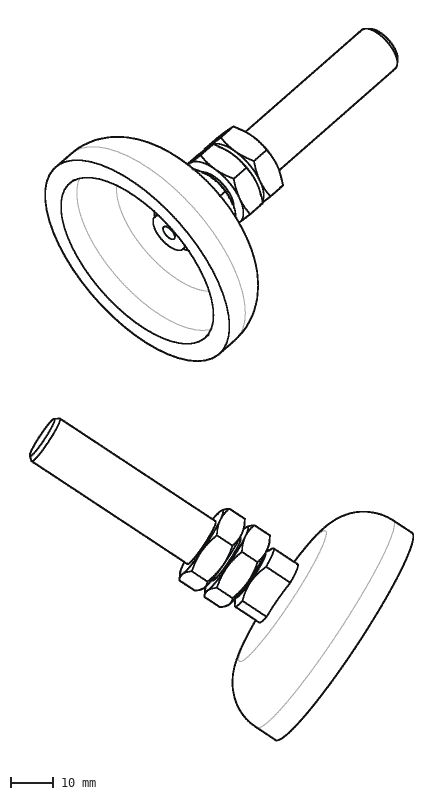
import cadquery as cq
import math

total_length = 85.0
foot_radius = 29.0
wall = 5.0
rim_height = 5.4
shoulder_radius = 12.0
crown_slope = math.radians(6)

stud_diameter = 12.0
stud_radius = stud_diameter / 2
tip_chamfer_length = 1.0
tip_chamfer_depth = 0.8
rivet_radius = 5.0
rivet_base_radius = 7.1
rivet_face_y = 11.05
rivet_cone_start_y = 12.75
rivet_cone_end_y = 13.6
center_hole_radius = 1.9
center_hole_depth = 2.8

collar_radius = 8.2
collar_flats = 13.0
collar_top_y = 26.3
collar_chamfer_length = 1.0
collar_chamfer_depth = 1.8

nut_count = 2
nut_flats = 18.0
nut_height = 6.0
nut_gap = 1.0
first_nut_y = 27.0
nut_face_radius = 9.0
nut_chamfer_angle = math.radians(30)

shoulder_center_r = foot_radius - shoulder_radius
slope_sin = math.sin(crown_slope)
slope_cos = math.cos(crown_slope)


def revolve_profile(profile):
    return profile.close().revolve(360, (0, 0, 0), (0, 1, 0))


def shoulder_point(radius, angle):
    """Point on a shoulder arc, with the angle measured from the Y direction."""
    return (shoulder_center_r + radius * math.sin(angle), rim_height + radius * math.cos(angle))


def crown_y(radius):
    """Height on the axis of the sloping crown tangent to a shoulder arc."""
    end_r, end_y = shoulder_point(radius, crown_slope)
    return end_y + end_r * slope_sin / slope_cos


def dome(shoulder):
    """Solid of revolution: straight rim, round shoulder and shallow conical crown."""
    middle_angle = (crown_slope + math.pi / 2) / 2
    rim_radius = shoulder_center_r + shoulder
    return revolve_profile(
        cq.Workplane("XY")
        .moveTo(0, 0)
        .lineTo(rim_radius, 0)
        .lineTo(rim_radius, rim_height)
        .threePointArc(shoulder_point(shoulder, middle_angle), shoulder_point(shoulder, crown_slope))
        .lineTo(0, crown_y(shoulder))
    )


def make_stud():
    """Stud with a chamfered tip, a conical rivet head and a conical center hole."""
    return revolve_profile(
        cq.Workplane("XY")
        .moveTo(0, rivet_face_y + center_hole_depth)
        .lineTo(center_hole_radius, rivet_face_y)
        .lineTo(rivet_radius, rivet_face_y)
        .lineTo(rivet_radius, rivet_cone_start_y)
        .lineTo(rivet_base_radius, rivet_cone_end_y)
        .lineTo(stud_radius, crown_y(shoulder_radius))
        .lineTo(stud_radius, total_length - tip_chamfer_length)
        .lineTo(stud_radius - tip_chamfer_depth, total_length)
        .lineTo(0, total_length)
    )


def make_collar():
    """Chamfered round collar cut to two flats facing +Z and -Z."""
    base_y = rivet_cone_end_y + wall / 2
    body = revolve_profile(
        cq.Workplane("XY")
        .moveTo(0, base_y)
        .lineTo(collar_radius, base_y)
        .lineTo(collar_radius, collar_top_y - collar_chamfer_length)
        .lineTo(collar_radius - collar_chamfer_depth, collar_top_y)
        .lineTo(0, collar_top_y)
    )
    flats = cq.Workplane("XY").box(2 * collar_radius, 2 * collar_top_y, collar_flats)
    return body.intersect(flats)


def make_nut(base_y):
    """Hexagon nut with corners on the X axis and both faces chamfered."""
    corner_radius = nut_flats / math.sqrt(3)
    chamfer_height = (corner_radius - nut_face_radius) * math.tan(nut_chamfer_angle)
    top_y = base_y + nut_height
    hexagon = (
        cq.Workplane("XZ", origin=(0, base_y, 0))
        .polygon(6, 2 * corner_radius)
        .extrude(-nut_height)
    )
    envelope = revolve_profile(
        cq.Workplane("XY")
        .moveTo(0, base_y)
        .lineTo(nut_face_radius, base_y)
        .lineTo(corner_radius, base_y + chamfer_height)
        .lineTo(corner_radius, top_y - chamfer_height)
        .lineTo(nut_face_radius, top_y)
        .lineTo(0, top_y)
    )
    return hexagon.intersect(envelope)


foot = dome(shoulder_radius).cut(dome(shoulder_radius - wall))
result = foot.union(make_collar()).union(make_stud())
for nut_index in range(nut_count):
    nut_y = first_nut_y + nut_index * (nut_height + nut_gap)
    result = result.union(make_nut(nut_y))